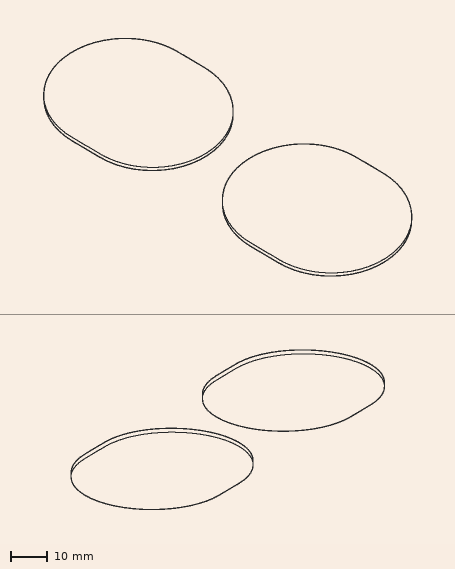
import cadquery as cq

plate_length = 55.0
plate_width = 45.0
plate_spacing = 65.0

dome_height = 1.87
dome_radius = 560.0

blank_height = 2 * dome_height


def dome_ball():
    """Large ball turned about an X axis, so that its seam runs along the crest of the plate."""
    ball = (
        cq.Workplane("XZ")
        .moveTo(-dome_radius, 0)
        .threePointArc((0, dome_radius), (dome_radius, 0))
        .close()
        .revolve(360, (0, 0, 0), (1, 0, 0))
    )
    return ball.translate((0, 0, dome_height - dome_radius))


def plate(center_x):
    """One flat-bottomed plate with a stadium outline and a domed top."""
    blank = cq.Workplane("XY").slot2D(plate_length, plate_width).extrude(blank_height)
    domed = blank.intersect(dome_ball(), clean=False)
    return domed.solids().translate((center_x, 0, 0))


plates = [plate(side * plate_spacing / 2) for side in (-1, 1)]

result = cq.Compound.makeCompound([body.val() for body in plates])